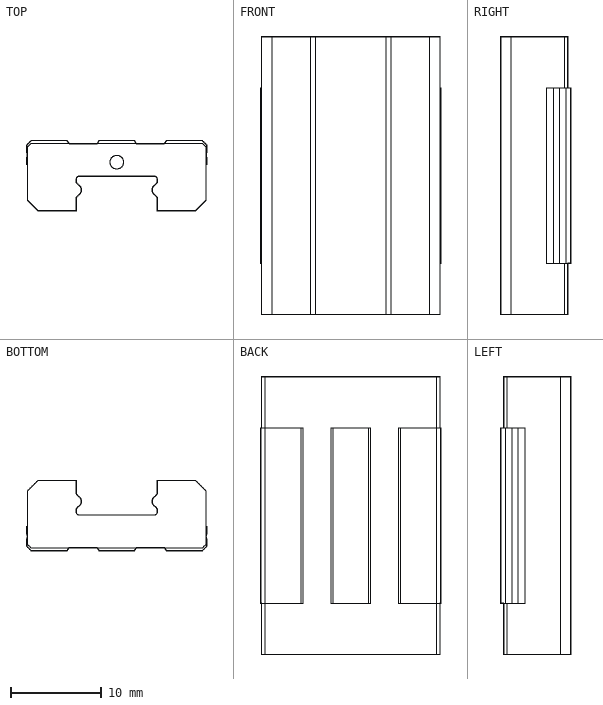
import cadquery as cq

LENGTH = 30.8
BODY_WIDTH = 19.8
BODY_HEIGHT = 7.45
FRONT_CHAMFER = 1.17
BACK_CHAMFER = 0.4

CHANNEL_WIDTH = 8.93
CHANNEL_DEPTH = 3.82
CHANNEL_CORNER_RADIUS = 0.3

BEAD_CENTER_Y = 2.3
BEAD_HEIGHT = 0.55
BEAD_HALF_BASE = 0.83
CREST_HALF_WIDTH = 0.5
CREST_RISE = 0.22
FLANK_HOLLOW = 0.02

COVER_WIDTH = 20.0
COVER_TOP = 7.8
COVER_LENGTH = 19.45
COVER_SIDE_HEIGHT = 2.68
COVER_CHAMFER = 0.52

SLOT_SPACING = 7.45
SLOT_TOP_WIDTH = 3.55
SLOT_FLOOR_WIDTH = 3.1

GROOVE_CENTER_DROP = 1.6
GROOVE_WIDTH = 0.65
GROOVE_DEPTH = 0.085

HOLE_DIAMETER = 1.5
HOLE_DEPTH = 3.08
HOLE_CENTER_Y = 5.4


def make_body():
    block = cq.Workplane("XY").box(BODY_WIDTH, BODY_HEIGHT, LENGTH, centered=(True, False, False))
    block = block.edges("|Z and <Y").chamfer(FRONT_CHAMFER)
    return block.edges("|Z and >Y").chamfer(BACK_CHAMFER)


def make_channel():
    channel = cq.Workplane("XY").box(CHANNEL_WIDTH, CHANNEL_DEPTH, LENGTH, centered=(True, False, False))
    return channel.edges("|Z and >Y").fillet(CHANNEL_CORNER_RADIUS)


def make_left_bead():
    wall_x = -CHANNEL_WIDTH / 2
    crest_x = wall_x + BEAD_HEIGHT
    crest_edge_x = crest_x - CREST_RISE
    flank_mid_x = (wall_x + crest_edge_x) / 2 - FLANK_HOLLOW
    flank_mid_offset = (BEAD_HALF_BASE + CREST_HALF_WIDTH) / 2 - FLANK_HOLLOW
    return (
        cq.Workplane("XY")
        .moveTo(wall_x, BEAD_CENTER_Y - BEAD_HALF_BASE)
        .threePointArc(
            (flank_mid_x, BEAD_CENTER_Y - flank_mid_offset),
            (crest_edge_x, BEAD_CENTER_Y - CREST_HALF_WIDTH),
        )
        .threePointArc(
            (crest_x, BEAD_CENTER_Y),
            (crest_edge_x, BEAD_CENTER_Y + CREST_HALF_WIDTH),
        )
        .threePointArc(
            (flank_mid_x, BEAD_CENTER_Y + flank_mid_offset),
            (wall_x, BEAD_CENTER_Y + BEAD_HALF_BASE),
        )
        .close()
        .extrude(LENGTH)
    )


def make_slot(center_x):
    half_floor = SLOT_FLOOR_WIDTH / 2
    half_top = SLOT_TOP_WIDTH / 2
    return (
        cq.Workplane("XY")
        .moveTo(center_x - half_floor, BODY_HEIGHT)
        .lineTo(center_x + half_floor, BODY_HEIGHT)
        .lineTo(center_x + half_top, COVER_TOP)
        .lineTo(center_x - half_top, COVER_TOP)
        .close()
        .extrude(COVER_LENGTH)
    )


def make_left_groove():
    side_x = -COVER_WIDTH / 2
    center_y = COVER_TOP - GROOVE_CENTER_DROP
    return (
        cq.Workplane("XY")
        .moveTo(side_x, center_y - GROOVE_WIDTH / 2)
        .threePointArc((side_x + GROOVE_DEPTH, center_y), (side_x, center_y + GROOVE_WIDTH / 2))
        .close()
        .extrude(COVER_LENGTH)
    )


def make_cover():
    cover = (
        cq.Workplane("XY")
        .box(COVER_WIDTH, COVER_SIDE_HEIGHT, COVER_LENGTH, centered=(True, False, False))
        .translate((0, COVER_TOP - COVER_SIDE_HEIGHT, 0))
        .edges("|Z and >Y")
        .chamfer(COVER_CHAMFER)
    )
    for side in (-1, 1):
        cover = cover.cut(make_slot(side * SLOT_SPACING / 2))
    groove = make_left_groove()
    cover = cover.cut(groove).cut(groove.mirror("YZ"))
    return cover.translate((0, 0, (LENGTH - COVER_LENGTH) / 2))


def make_end_hole():
    return (
        cq.Workplane("XY", origin=(0, HOLE_CENTER_Y, LENGTH - HOLE_DEPTH))
        .circle(HOLE_DIAMETER / 2)
        .extrude(HOLE_DEPTH)
    )


bead = make_left_bead()
rail_space = make_channel().cut(bead).cut(bead.mirror("YZ"))

result = make_body().union(make_cover()).cut(rail_space).cut(make_end_hole())